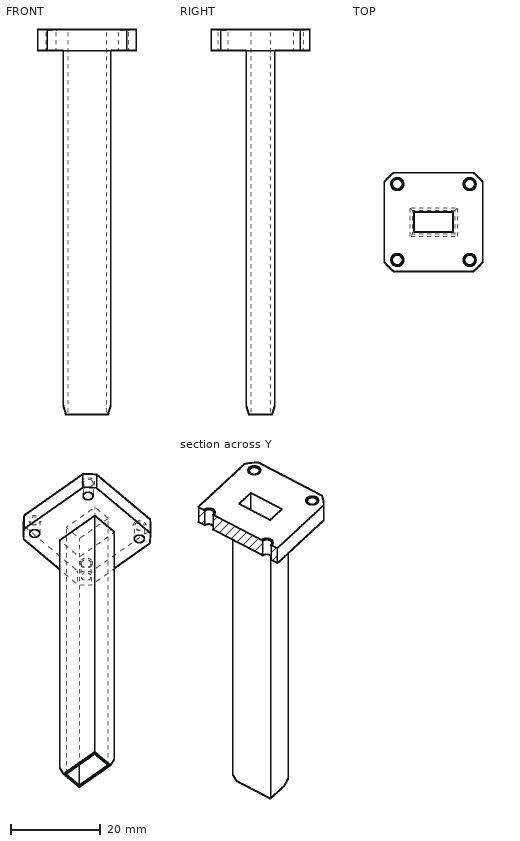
import cadquery as cq

total_length = 86.4
flange_side = 22.2
flange_thickness = 4.75
flange_corner_diameter = 28.5

tube_width = 10.7
tube_depth = 6.5
taper_length = 2.1
taper_inset = 0.6
bore_width = 8.7
bore_depth = 4.4

hole_spacing_x = 16.2
hole_spacing_y = 17.0
hole_diameter = 2.25
countersink_diameter = 2.85
countersink_angle = 120

flange_bottom = total_length - flange_thickness


def make_flange():
    """Square plate whose corners are turned down to a circle about the tube axis."""
    base = cq.Workplane("XY", origin=(0, 0, flange_bottom))
    square = base.rect(flange_side, flange_side).extrude(flange_thickness)
    disc = base.circle(flange_corner_diameter / 2).extrude(flange_thickness)
    return square.intersect(disc)


def make_tube():
    """Solid rectangular bar whose lower end narrows on all four sides."""
    straight = (
        cq.Workplane("XY", origin=(0, 0, taper_length))
        .rect(tube_width, tube_depth)
        .extrude(flange_bottom - taper_length)
    )
    tip = (
        cq.Workplane("XY")
        .rect(tube_width - 2 * taper_inset, tube_depth - 2 * taper_inset)
        .workplane(offset=taper_length)
        .rect(tube_width, tube_depth)
        .loft(ruled=True)
    )
    return straight.union(tip)


def make_bore():
    """Rectangular channel running the full length."""
    return cq.Workplane("XY").rect(bore_width, bore_depth).extrude(total_length)


body = make_flange().union(make_tube()).cut(make_bore())
result = (
    body.faces(">Z")
    .workplane(origin=(0, 0, total_length))
    .rect(hole_spacing_x, hole_spacing_y, forConstruction=True)
    .vertices()
    .cskHole(hole_diameter, countersink_diameter, countersink_angle)
)